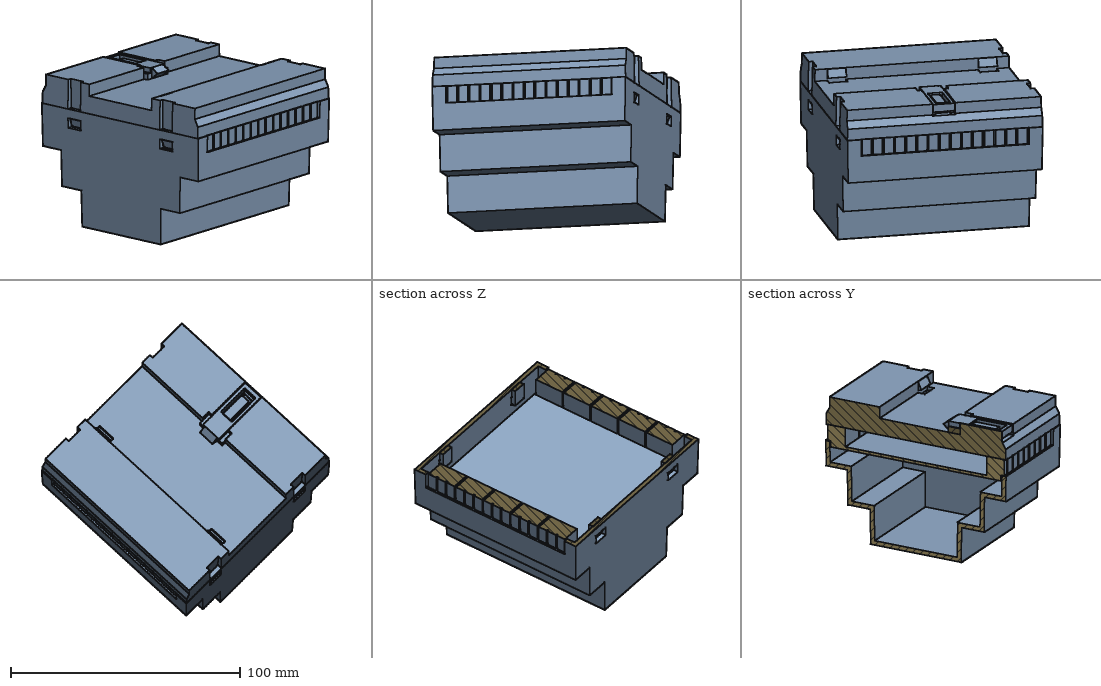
import cadquery as cq
import math

length_x = 90.2
width_y = 87.6
height = 65.4
seam_z = 52.1
draft = math.tan(math.radians(1.0))
half_y = width_y / 2

wall = 2.3
tier_half_widths = [length_x / 2, 34.3, 22.9]
tier_floors = [32.65, 16.3, 0.0]

cover_half_x = 44.7
cover_top_half_x = 42.9
cover_top_half_y = 43.5
bevel_bottom_z = 57.3
bevel_top_z = 60.5
rail_half_x = 17.95
rail_floor_z = 60.1

snap_x = 26.4
snap_width = 7.2
snap_top_z = 47.9
snap_bottom_z = 43.6
snap_clearance = 0.4
arm_thickness = 1.8
arm_bottom_z = snap_bottom_z + snap_clearance
barb_reach = 1.5

window_half_y = 37.6
window_sill_z = 44.65
block_count = 5
block_pitch = 15.0
block_width = 14.25
block_depth = 9.0
block_face_x = 44.0
pole_pitch = 5.0
groove_width = 0.8
groove_depth = 0.7
board_top_z = 43.5
board_thickness = 1.6
board_half_x = 42.4
board_half_y = 37.9

hook_y = 33.8
hook_width = 8.3
hook_top_z = 65.2
hook_tip_x = 16.3
hook_tip_z = 61.6
hook_bottom_z = 61.1
hook_pocket_x = 14.5
hook_pocket_depth = 1.6

track_half_y = 5.05
latch_half_y = 4.8
latch_end_x = -42.6
latch_nose_x = -16.1
latch_top_z = 65.0
latch_tip_x = -13.0
latch_tip_z = 62.8
tip_half_y = 3.8
lip_bottom_z = 61.6
slot_start_x = -40.7
slot_end_x = -25.8
slot_half_y = 3.25
ear_start_x = -21.8
ear_half_y = 6.8
ear_top_z = 62.8
ear_pocket_half_y = 6.95
catch_start_x = -39.6
catch_foot_half_y = 2.4
catch_foot_top_z = 61.4
catch_ledge_z = 60.5
catch_rib_start_x = -37.7
catch_rib_half_y = 2.2
catch_rib_top_z = 64.1


def box(x_range, y_range, z_range):
    """Box between two limits along each axis."""
    size = [high - low for low, high in (x_range, y_range, z_range)]
    return cq.Workplane("XY").box(*size, centered=False).translate((x_range[0], y_range[0], z_range[0]))


def prism_along_y(points, half_width, y=0.0):
    """Outline of (x, z) points extruded equally both ways about y."""
    outline = cq.Workplane("XZ").polyline(points).close()
    return outline.extrude(half_width, both=True).translate((0, y, 0))


def prism_along_x(points, half_width, x=0.0):
    """Outline of (y, z) points extruded equally both ways about x."""
    outline = cq.Workplane("YZ").polyline(points).close()
    return outline.extrude(half_width, both=True).translate((x, 0, 0))


def mirrored_outline(right_side):
    """Closed symmetric outline from the points of its positive side."""
    left_side = [(-across, z) for across, z in reversed(right_side)]
    return right_side + left_side


def stepped_block(inset):
    """Three drafted tiers up to the seam, with every wall and floor moved inwards by inset."""
    side = []
    top_z = seam_z
    for half_width, floor in zip(tier_half_widths, tier_floors):
        floor_z = floor + inset
        side.append((half_width - inset, top_z))
        side.append((half_width - inset - draft * (top_z - floor_z), floor_z))
        top_z = floor_z
    end_half = half_y - inset
    ends = [(end_half, seam_z), (end_half - draft * seam_z, 0)]
    tiers = prism_along_y(mirrored_outline(side), length_x)
    return tiers.intersect(prism_along_x(mirrored_outline(ends), length_x))


def snap_positions():
    """Places of the four snaps as (x, sign of the Y side)."""
    return [(x, side) for x in (-snap_x, snap_x) for side in (-1, 1)]


def arm_face_y(z):
    """Distance from the middle to the drafted inner wall of the base, continued above the seam."""
    return half_y - wall + draft * (z - seam_z)


def make_base():
    """Open-topped stepped box with terminal windows through both X walls and snap openings."""
    base = stepped_block(0).cut(stepped_block(wall))
    base = base.cut(
        box((-length_x, length_x), (-window_half_y, window_half_y), (window_sill_z, seam_z))
    )
    for x in (-snap_x, snap_x):
        x_range = (x - snap_width / 2, x + snap_width / 2)
        base = base.cut(box(x_range, (-width_y, width_y), (snap_bottom_z, snap_top_z)))
    return base


def cover_shell():
    """Bevelled slab with the rail channel along Y and drafted ends."""
    side = [
        (rail_half_x, rail_floor_z),
        (rail_half_x, height),
        (cover_top_half_x, height),
        (cover_top_half_x, bevel_top_z),
        (cover_half_x, bevel_bottom_z),
        (cover_half_x, seam_z),
    ]
    ends = [(half_y, seam_z), (cover_top_half_y, height)]
    slab = prism_along_y(mirrored_outline(side), width_y)
    return slab.intersect(prism_along_x(mirrored_outline(ends), length_x))


def snap_groove(x, side):
    """Groove in the end face of the cover, above a snap arm."""
    outline = [
        (side * arm_face_y(seam_z), seam_z),
        (side * arm_face_y(height), height),
        (side * width_y, height),
        (side * width_y, seam_z),
    ]
    return prism_along_x(outline, snap_width / 2, x)


def snap_arm(x, side):
    """Arm along the inner wall of the base, with a barb that fills its opening."""
    inner_y = arm_face_y(arm_bottom_z) - arm_thickness
    outline = [
        (side * inner_y, seam_z),
        (side * arm_face_y(seam_z), seam_z),
        (side * arm_face_y(snap_top_z), snap_top_z),
        (side * (arm_face_y(snap_top_z) + barb_reach), snap_top_z),
        (side * arm_face_y(arm_bottom_z), arm_bottom_z),
        (side * inner_y, arm_bottom_z),
    ]
    return prism_along_x(outline, snap_width / 2 - snap_clearance, x)


def rail_hook(y):
    """Wedge on the channel wall that grips the edge of the rail."""
    outline = [
        (rail_half_x, hook_top_z),
        (hook_tip_x, hook_tip_z),
        (rail_half_x, hook_bottom_z),
    ]
    return prism_along_y(outline, hook_width / 2, y)


def hook_pocket(y):
    """Recess in the channel floor under a rail hook."""
    return box(
        (hook_pocket_x, rail_half_x),
        (y - hook_width / 2, y + hook_width / 2),
        (rail_floor_z - hook_pocket_depth, rail_floor_z),
    )


def latch_track():
    """Space cut from the cover for the latch bar and its ears."""
    track = box((-length_x, -rail_half_x), (-track_half_y, track_half_y), (rail_floor_z, height))
    ear_pocket = box(
        (ear_start_x, -rail_half_x), (-ear_pocket_half_y, ear_pocket_half_y), (rail_floor_z, height)
    )
    return track.union(ear_pocket)


def latch_catch():
    """Rib that stands in the latch slot, on a wider foot with a sloping outer end."""
    foot_outline = [
        (catch_start_x, rail_floor_z),
        (catch_start_x, catch_foot_top_z),
        (catch_rib_start_x, catch_ledge_z),
        (slot_end_x, catch_ledge_z),
        (slot_end_x, rail_floor_z),
    ]
    foot = prism_along_y(foot_outline, catch_foot_half_y)
    rib = box(
        (catch_rib_start_x, slot_end_x),
        (-catch_rib_half_y, catch_rib_half_y),
        (rail_floor_z, catch_rib_top_z),
    )
    return foot.union(rib)


def make_cover():
    """Cover with snap arms, rail hooks, the latch track and the catch in it."""
    cover = cover_shell()
    for x, side in snap_positions():
        cover = cover.cut(snap_groove(x, side)).union(snap_arm(x, side))
    for y in (-hook_y, hook_y):
        cover = cover.cut(hook_pocket(y)).union(rail_hook(y))
    return cover.cut(latch_track()).union(latch_catch())


def make_latch():
    """Slotted bar with two ears, a wedge tip over the rail and a finger lip at the outer end."""
    bar = box((latch_end_x, latch_nose_x), (-latch_half_y, latch_half_y), (rail_floor_z, latch_top_z))
    ears = box((ear_start_x, latch_nose_x), (-ear_half_y, ear_half_y), (rail_floor_z, ear_top_z))
    tip_outline = [
        (latch_nose_x, rail_floor_z),
        (latch_nose_x, latch_top_z),
        (latch_tip_x, latch_tip_z),
    ]
    tip = prism_along_y(tip_outline, tip_half_y)
    slot = box((slot_start_x, slot_end_x), (-slot_half_y, slot_half_y), (rail_floor_z, latch_top_z))
    undercut = box(
        (latch_end_x, slot_start_x), (-latch_half_y, latch_half_y), (rail_floor_z, lip_bottom_z)
    )
    return bar.union(ears).union(tip).cut(slot).cut(undercut)


def terminal_block(y, side):
    """Three-pole block whose face stands in a terminal window, just above the sill."""
    y_range = (y - block_width / 2, y + block_width / 2)
    inner_x = block_face_x - block_depth
    body = box((inner_x, board_half_x), y_range, (board_top_z, seam_z))
    face = box((inner_x, block_face_x), y_range, (window_sill_z, seam_z))
    block = body.union(face)
    for groove_y in (y - pole_pitch / 2, y + pole_pitch / 2):
        groove = box(
            (block_face_x - groove_depth, block_face_x),
            (groove_y - groove_width / 2, groove_y + groove_width / 2),
            (window_sill_z, seam_z),
        )
        block = block.cut(groove)
    return block if side > 0 else block.mirror("YZ")


def make_terminal_board():
    """Board inside the base with a row of terminal blocks along each X side."""
    board = box(
        (-board_half_x, board_half_x),
        (-board_half_y, board_half_y),
        (board_top_z - board_thickness, board_top_z),
    )
    for index in range(block_count):
        y = (index - (block_count - 1) / 2) * block_pitch
        for side in (-1, 1):
            board = board.union(terminal_block(y, side))
    return board


base = make_base()
cover = make_cover()
latch = make_latch()
terminal_board = make_terminal_board()

result = cq.Compound.makeCompound([base.val(), cover.val(), latch.val(), terminal_board.val()])